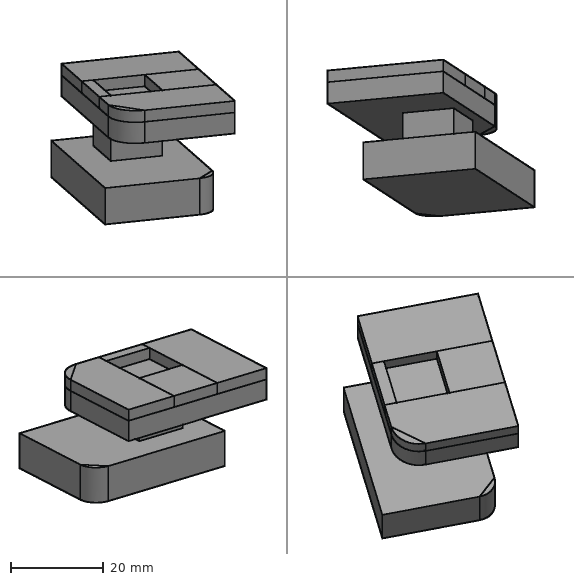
import cadquery as cq
import math

BASE_LENGTH = 36.2
BASE_WIDTH = 26.1
BASE_HEIGHT = 8.3
BASE_CORNER_RADIUS = 4.35

HEAD_LENGTH = 37.7
HEAD_WIDTH = 26.9
HEAD_CORNER_RADIUS = 6.2
LOWER_THICKNESS = 4.8
UPPER_THICKNESS = 2.65

POST_SIDE = 11.8
POST_HEIGHT = 7.5

OVERALL_LENGTH = 43.25
OVERALL_WIDTH = 31.7
BASE_LEFT = OVERALL_LENGTH - BASE_LENGTH
HEAD_FRONT = OVERALL_WIDTH - HEAD_WIDTH
POST_LEFT = 13.45
POST_FRONT = 7.5

POST_RIGHT = POST_LEFT + POST_SIDE
POST_BACK = POST_FRONT + POST_SIDE
HEAD_BOTTOM = BASE_HEIGHT + POST_HEIGHT
UPPER_BOTTOM = HEAD_BOTTOM + LOWER_THICKNESS


def block(x_min, x_max, y_min, y_max, bottom, height):
    """Rectangular block between the given limits."""
    return (
        cq.Workplane("XY")
        .box(x_max - x_min, y_max - y_min, height, centered=False)
        .translate((x_min, y_min, bottom))
    )


def right_corner_cut(body, y_side, size):
    """Cut a vertical corner on the +X side flat at 45 degrees."""
    return body.edges(f"|Z and >X and {y_side}Y").chamfer(size)


def corner_segment(x_edge, y_edge, y_inward, radius, bottom, height):
    """Segment between a 45 degree chord and the round of a +X corner."""
    center_x = x_edge - radius
    center_y = y_edge + y_inward * radius
    diagonal = radius * math.sqrt(0.5)
    return (
        cq.Workplane("XY", origin=(0, 0, bottom))
        .moveTo(center_x, y_edge)
        .threePointArc((center_x + diagonal, center_y - y_inward * diagonal), (x_edge, center_y))
        .close()
        .extrude(height)
    )


base_block = block(BASE_LEFT, OVERALL_LENGTH, 0, BASE_WIDTH, 0, BASE_HEIGHT)
base = right_corner_cut(base_block, ">", BASE_CORNER_RADIUS)
base_corner = corner_segment(OVERALL_LENGTH, BASE_WIDTH, -1, BASE_CORNER_RADIUS, 0, BASE_HEIGHT)

post = block(POST_LEFT, POST_RIGHT, POST_FRONT, POST_BACK, BASE_HEIGHT, POST_HEIGHT)

plate_block = block(0, HEAD_LENGTH, HEAD_FRONT, OVERALL_WIDTH, HEAD_BOTTOM, LOWER_THICKNESS)
lower_plate = right_corner_cut(plate_block, "<", HEAD_CORNER_RADIUS)

left_cover = block(0, POST_LEFT, HEAD_FRONT, OVERALL_WIDTH, UPPER_BOTTOM, UPPER_THICKNESS)
cover_block = block(POST_RIGHT, HEAD_LENGTH, HEAD_FRONT, OVERALL_WIDTH, UPPER_BOTTOM, UPPER_THICKNESS)
right_cover = right_corner_cut(cover_block, "<", HEAD_CORNER_RADIUS)
front_filler = block(POST_LEFT, POST_RIGHT, HEAD_FRONT, POST_FRONT, UPPER_BOTTOM, UPPER_THICKNESS)
back_filler = block(POST_LEFT, POST_RIGHT, POST_BACK, OVERALL_WIDTH, UPPER_BOTTOM, UPPER_THICKNESS)

head_corners = [
    corner_segment(HEAD_LENGTH, HEAD_FRONT, 1, HEAD_CORNER_RADIUS, bottom, height)
    for bottom, height in ((HEAD_BOTTOM, LOWER_THICKNESS), (UPPER_BOTTOM, UPPER_THICKNESS))
]

result = cq.Compound.makeCompound([
    base.val(),
    base_corner.val(),
    post.val(),
    lower_plate.val(),
    left_cover.val(),
    right_cover.val(),
    front_filler.val(),
    back_filler.val(),
    *[corner.val() for corner in head_corners],
])